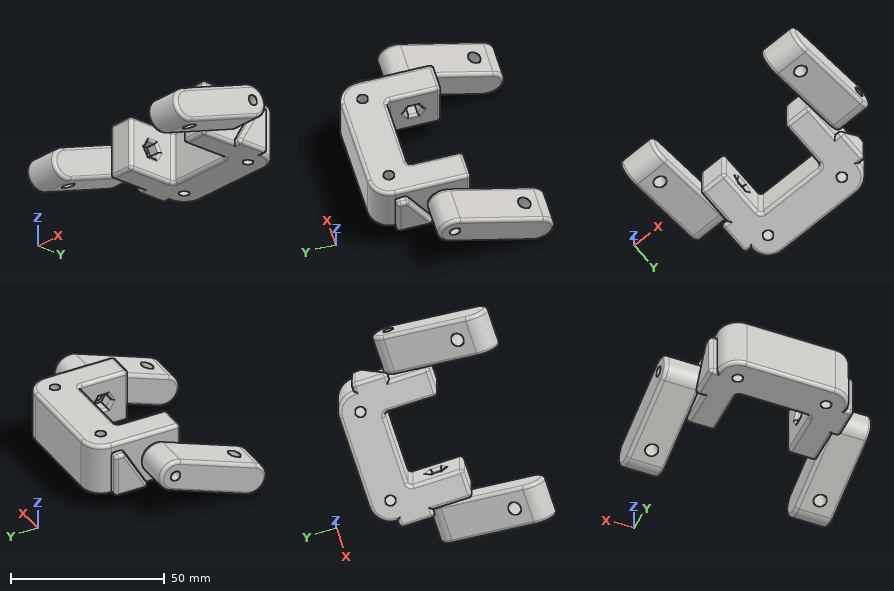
import cadquery as cq
import math

overall_width = 73.55
edge_radius = 1.25

bracket_width = 46.1
bracket_depth = 33.2
bracket_height = 19.3
web_depth = 14.6
leg_width = 10.15
back_corner_radius = 7.35
pivot_to_back = 23.8
pivot_to_top = 9.55
bolt_hole_diameter = 3.5

nut_corner_diameter = 6.25
nut_pocket_depth = 4.4
nut_mouth_radius = 0.95

stop_thickness = 2.6
stop_drop = 3.3
stop_top_length = 4.0
stop_slope = 60.0

arm_length = 29.9
arm_diameter = 11.5
arm_tilt = 20.0
pivot_hole_diameter = 3.5
cross_hole_diameter = 4.4
cross_hole_distance = 25.0

side_x = bracket_width / 2
inner_x = side_x - leg_width
arm_width = overall_width / 2 - side_x
back_y = pivot_to_back
front_y = back_y - bracket_depth
web_front_y = back_y - web_depth
top_z = pivot_to_top
bottom_z = top_z - bracket_height


def make_block():
    """U-shaped block with large back corners and all other edges rounded."""
    block = (
        cq.Workplane("XY", origin=(0, 0, bottom_z))
        .moveTo(-side_x, front_y)
        .lineTo(-side_x, back_y)
        .lineTo(side_x, back_y)
        .lineTo(side_x, front_y)
        .lineTo(inner_x, front_y)
        .lineTo(inner_x, web_front_y)
        .lineTo(-inner_x, web_front_y)
        .lineTo(-inner_x, front_y)
        .close()
        .extrude(bracket_height)
        .edges("|Z and >Y")
        .fillet(back_corner_radius)
    )
    leg_corners = cq.selectors.BoxSelector(
        (-bracket_width, front_y - edge_radius, bottom_z + edge_radius),
        (bracket_width, web_front_y + edge_radius, top_z - edge_radius),
    )
    return (
        block.edges(leg_corners)
        .fillet(edge_radius)
        .faces("<Z or >Z")
        .edges()
        .fillet(edge_radius)
    )


def make_stop():
    """Wedge on the +X side, sunk into the block so that only its outer edges are rounded."""
    stop_back_y = back_y - back_corner_radius
    stop_top_z = top_z - stop_drop
    slope_run = (stop_top_z - bottom_z) / math.tan(math.radians(stop_slope))
    sunk_x = side_x - 2 * edge_radius
    return (
        cq.Workplane("YZ", origin=(sunk_x, 0, 0))
        .moveTo(stop_back_y, bottom_z)
        .lineTo(stop_back_y, stop_top_z)
        .lineTo(stop_back_y - stop_top_length, stop_top_z)
        .lineTo(stop_back_y - stop_top_length - slope_run, bottom_z)
        .close()
        .extrude(side_x + stop_thickness - sunk_x)
        .edges("|X or >X")
        .fillet(edge_radius)
    )


def cut_nut_pockets(block):
    """Hexagonal pockets around the pivot axis, with rounded mouths."""
    pocket_span = 2 * (inner_x + nut_pocket_depth)
    pockets = (
        cq.Workplane("YZ", origin=(-pocket_span / 2, 0, 0))
        .polygon(6, nut_corner_diameter)
        .extrude(pocket_span)
    )
    mouth_reach = nut_corner_diameter / 2
    mouths = cq.selectors.BoxSelector(
        (-inner_x - nut_mouth_radius, -mouth_reach, -mouth_reach),
        (inner_x + nut_mouth_radius, mouth_reach, mouth_reach),
    )
    return block.cut(pockets).edges(mouths).fillet(nut_mouth_radius)


def make_bracket():
    """Block with nut pockets, a stop on each side, two bolt holes and the pivot hole."""
    stop = make_stop()
    bracket = cut_nut_pockets(make_block()).union(stop).union(stop.mirror("YZ"))

    bolt_x = side_x - back_corner_radius
    bolt_y = back_y - back_corner_radius
    bolt_holes = (
        cq.Workplane("XY", origin=(0, 0, bottom_z))
        .pushPoints([(-bolt_x, bolt_y), (bolt_x, bolt_y)])
        .circle(bolt_hole_diameter / 2)
        .extrude(bracket_height)
    )
    pivot_hole = (
        cq.Workplane("YZ", origin=(-side_x, 0, 0))
        .circle(pivot_hole_diameter / 2)
        .extrude(bracket_width)
    )
    return bracket.cut(bolt_holes).cut(pivot_hole)


def make_arm(side):
    """Arm on the +X side (side = 1) or the -X side (side = -1), modelled level, then tilted."""
    bar = (
        cq.Workplane("YZ", origin=(-arm_width / 2, 0, 0))
        .center(-arm_length / 2, 0)
        .slot2D(arm_length + arm_diameter, arm_diameter)
        .extrude(arm_width)
        .faces("<X or >X")
        .edges()
        .fillet(edge_radius)
    )
    pivot_hole = (
        cq.Workplane("YZ", origin=(-arm_width / 2, 0, 0))
        .circle(pivot_hole_diameter / 2)
        .extrude(arm_width)
    )
    cross_hole = (
        cq.Workplane("XY", origin=(0, -cross_hole_distance, -arm_diameter / 2))
        .circle(cross_hole_diameter / 2)
        .extrude(arm_diameter)
    )
    arm = bar.cut(pivot_hole).cut(cross_hole)
    arm = arm.rotate((0, 0, 0), (1, 0, 0), arm_tilt)
    return arm.translate((side * (side_x + arm_width / 2), 0, 0))


bracket = make_bracket()
arms = [make_arm(side) for side in (-1, 1)]
result = cq.Compound.makeCompound([bracket.val(), *[arm.val() for arm in arms]])